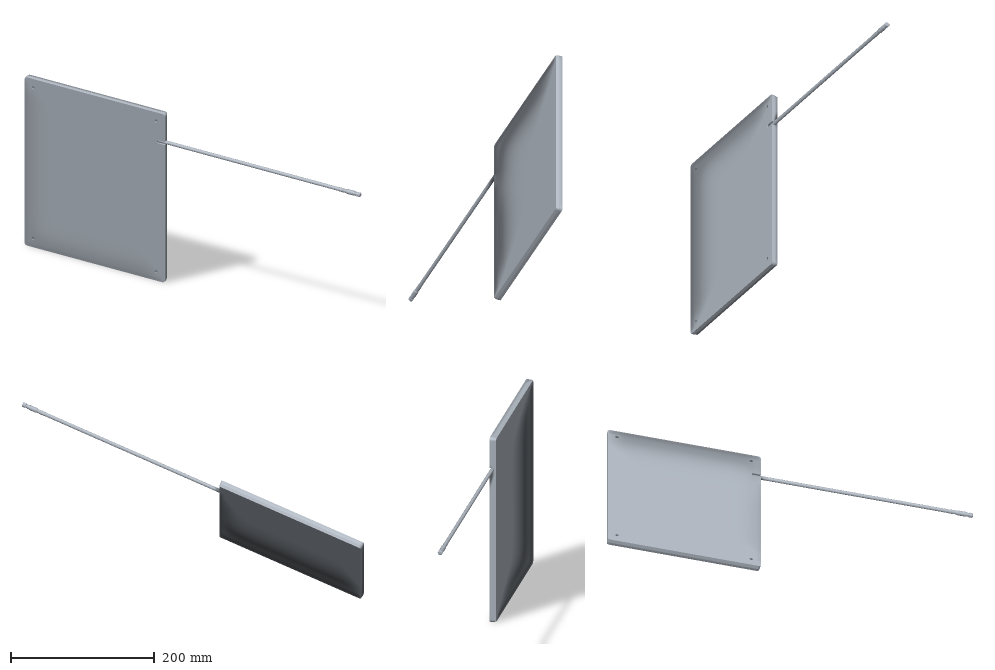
import cadquery as cq
import math

TOTAL_LENGTH = 520.0

HOUSING_WIDTH = 218.0
HOUSING_HEIGHT = 279.0
HOUSING_DEPTH = 9.5
CORNER_RADIUS = 4.0
TAPER_DEPTH = 4.0
TAPER_INSET = 1.0

RIM_WIDTH = 2.0
PANEL_DEPTH = 7.5

HOLE_DIAMETER = 4.5
HOLE_INSET_X = 13.5
HOLE_INSET_Z = 14.5

CABLE_DIAMETER = 5.0
CABLE_RADIUS = CABLE_DIAMETER / 2
CABLE_Y = 3.5
CABLE_Z = HOUSING_HEIGHT - 48.0
SLOT_LENGTH = 12.5
SLOT_START = HOUSING_WIDTH - SLOT_LENGTH

COLLAR_DIAMETER = 5.5
COLLAR_LENGTH = 8.0
WAIST_LENGTH = 3.5
CONE_LENGTH = 1.5
SHELL_DIAMETER = 7.0
SHELL_LENGTH = 10.5
RING_DIAMETER = 6.0
RING_LENGTH = 3.0
NECK_DIAMETER = 4.5
NECK_LENGTH = 2.5
TIP_FLANGE_LENGTH = 1.5
TIP_GROOVE_LENGTH = 1.5
TIP_HEAD_LENGTH = 2.0
TIP_CHAMFER = 1.0


def rounded_outline(inset):
    """Housing outline in the front plane, moved inward by the inset."""
    return (
        cq.Sketch()
        .rect(HOUSING_WIDTH - 2 * inset, HOUSING_HEIGHT - 2 * inset)
        .vertices()
        .fillet(CORNER_RADIUS - inset)
    )


def slab(inset, y_start, depth, taper=0):
    """Slab that runs back from y_start, centred on the housing outline."""
    centre = (HOUSING_WIDTH / 2, y_start, HOUSING_HEIGHT / 2)
    plane = cq.Workplane("XZ", origin=centre)
    return plane.placeSketch(rounded_outline(inset)).extrude(-depth, taper=taper)


def cable_slot():
    """Straight slot, open at the front and at the right side, as deep as the cable."""
    slot = cq.Workplane("XY").box(
        SLOT_LENGTH, CABLE_Y + CABLE_RADIUS, CABLE_DIAMETER, centered=False
    )
    return slot.translate((SLOT_START, 0, CABLE_Z - CABLE_RADIUS))


def corner_holes():
    points = [
        (x, z)
        for x in (HOLE_INSET_X, HOUSING_WIDTH - HOLE_INSET_X)
        for z in (HOLE_INSET_Z, HOUSING_HEIGHT - HOLE_INSET_Z)
    ]
    return cq.Workplane("XZ").pushPoints(points).circle(HOLE_DIAMETER / 2).extrude(-PANEL_DEPTH)


def make_housing():
    straight_depth = HOUSING_DEPTH - TAPER_DEPTH
    taper_angle = math.degrees(math.atan2(TAPER_INSET, TAPER_DEPTH))
    body = slab(0, 0, straight_depth).union(slab(0, straight_depth, TAPER_DEPTH, taper_angle))
    return body.cut(slab(RIM_WIDTH, 0, PANEL_DEPTH)).cut(cable_slot())


def make_panel():
    return slab(RIM_WIDTH, 0, PANEL_DEPTH).cut(corner_holes()).cut(cable_slot())


def make_cable():
    """Cable and plug turned in one piece about the cable's centre line."""
    shell_radius = SHELL_DIAMETER / 2
    head_start = TOTAL_LENGTH - TIP_HEAD_LENGTH
    groove_start = head_start - TIP_GROOVE_LENGTH
    tip_start = groove_start - TIP_FLANGE_LENGTH
    neck_start = tip_start - NECK_LENGTH
    ring_start = neck_start - RING_LENGTH
    shell_start = ring_start - SHELL_LENGTH
    cone_start = shell_start - CONE_LENGTH
    waist_start = cone_start - WAIST_LENGTH
    collar_start = waist_start - COLLAR_LENGTH
    profile = [
        (SLOT_START, 0),
        (SLOT_START, CABLE_RADIUS),
        (collar_start, CABLE_RADIUS),
        (collar_start, COLLAR_DIAMETER / 2),
        (waist_start, COLLAR_DIAMETER / 2),
        (waist_start, CABLE_RADIUS),
        (cone_start, CABLE_RADIUS),
        (shell_start, shell_radius),
        (ring_start, shell_radius),
        (ring_start, RING_DIAMETER / 2),
        (neck_start, RING_DIAMETER / 2),
        (neck_start, NECK_DIAMETER / 2),
        (tip_start, NECK_DIAMETER / 2),
        (tip_start, shell_radius),
        (groove_start, shell_radius),
        (groove_start, RING_DIAMETER / 2),
        (head_start, RING_DIAMETER / 2),
        (head_start, shell_radius),
        (TOTAL_LENGTH - TIP_CHAMFER, shell_radius),
        (TOTAL_LENGTH, shell_radius - TIP_CHAMFER),
        (TOTAL_LENGTH, 0),
    ]
    turned = cq.Workplane("XY").polyline(profile).close().revolve(360, (0, 0, 0), (1, 0, 0))
    return turned.translate((0, CABLE_Y, CABLE_Z))


housing = make_housing()
panel = make_panel()
cable = make_cable()
result = cq.Compound.makeCompound([housing.val(), panel.val(), cable.val()])